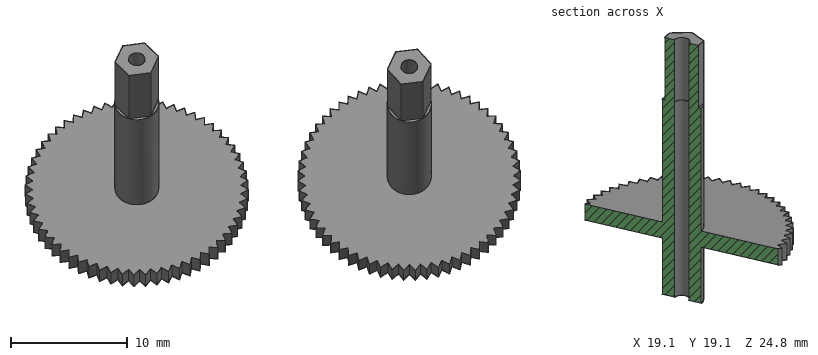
import cadquery as cq
import math

total_length = 24.8
shaft_diameter = 3.8
hex_sides = 6
hex_length = 6.0
hex_corner_diameter = shaft_diameter
hex_base = total_length - hex_length

disc_bottom = 5.4
disc_thickness = 1.59
tooth_count = 60
tip_diameter = 19.12
root_diameter = 17.9
first_tip_angle = 1.2

lower_hole_diameter = 1.35
upper_hole_diameter = 1.4


def polar_point(radius, angle):
    """Point at a radius and an angle in degrees, measured from +X."""
    return (radius * math.cos(math.radians(angle)), radius * math.sin(math.radians(angle)))


def make_shaft():
    round_part = cq.Workplane("XY").circle(shaft_diameter / 2).extrude(hex_base)
    hex_part = (
        cq.Workplane("XY")
        .workplane(offset=hex_base)
        .polygon(hex_sides, hex_corner_diameter)
        .extrude(hex_length)
    )
    return round_part.union(hex_part)


def make_toothed_disc():
    tooth_pitch = 360 / tooth_count
    outline = []
    for tooth in range(tooth_count):
        tip_angle = first_tip_angle + tooth * tooth_pitch
        outline.append(polar_point(tip_diameter / 2, tip_angle))
        outline.append(polar_point(root_diameter / 2, tip_angle + tooth_pitch / 2))
    return (
        cq.Workplane("XY")
        .workplane(offset=disc_bottom)
        .polyline(outline)
        .close()
        .extrude(disc_thickness)
    )


def make_stepped_hole():
    lower_hole = cq.Workplane("XY").circle(lower_hole_diameter / 2).extrude(total_length)
    upper_hole = (
        cq.Workplane("XY")
        .workplane(offset=hex_base)
        .circle(upper_hole_diameter / 2)
        .extrude(hex_length)
    )
    return lower_hole.union(upper_hole)


result = make_shaft().union(make_toothed_disc()).cut(make_stepped_hole())